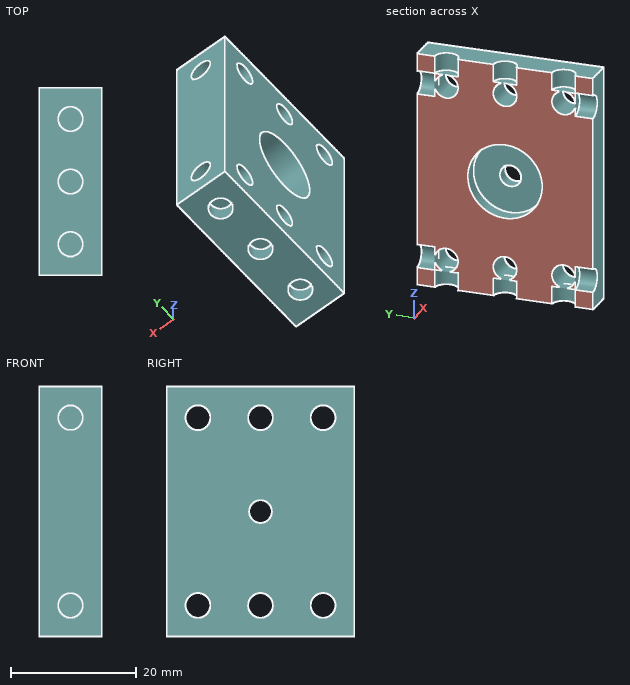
import cadquery as cq

thickness = 10.0
width = 30.0
height = 40.0

pitch = thickness
edge_distance = pitch / 2
hole_diameter = 3.9
blind_depth = 3.0

bore_diameter = 3.6
counterbore_diameter = 12.6
counterbore_depth = thickness * 3 / 4

row_height = height / 2 - edge_distance
column_positions = [-pitch, 0, pitch]
row_positions = [-row_height, row_height]


def cylinder(diameter, length, start, direction):
    """Cylinder that grows from the start point along the direction."""
    return cq.Workplane(
        cq.Solid.makeCylinder(diameter / 2, length, cq.Vector(*start), cq.Vector(*direction))
    )


result = cq.Workplane("XY").box(thickness, width, height)

for y in column_positions:
    for z in row_positions:
        result = result.cut(cylinder(hole_diameter, thickness, (-thickness / 2, y, z), (1, 0, 0)))

for y in column_positions:
    for side in (-1, 1):
        result = result.cut(
            cylinder(hole_diameter, blind_depth, (0, y, side * height / 2), (0, 0, -side))
        )

for z in row_positions:
    for side in (-1, 1):
        result = result.cut(
            cylinder(hole_diameter, blind_depth, (0, side * width / 2, z), (0, -side, 0))
        )

result = result.cut(cylinder(bore_diameter, thickness, (-thickness / 2, 0, 0), (1, 0, 0)))
result = result.cut(
    cylinder(counterbore_diameter, counterbore_depth, (-thickness / 2, 0, 0), (1, 0, 0))
)